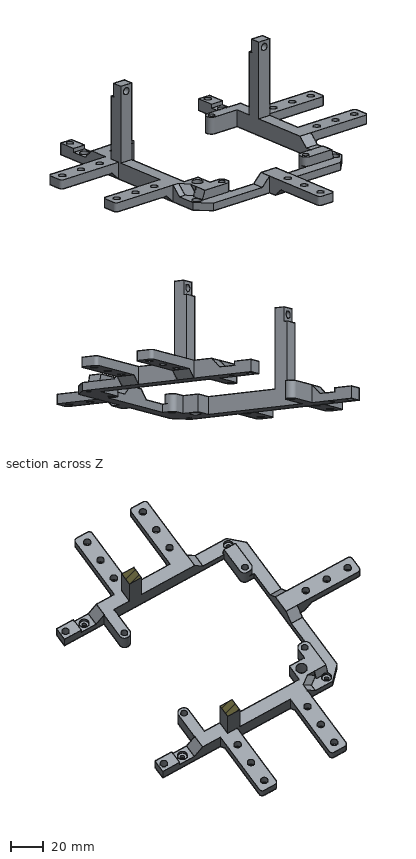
import cadquery as cq

frame_half_width = 60.0
rail_width = 9.0
rail_inner = frame_half_width - rail_width
rail_center = frame_half_width - rail_width / 2
cross_outer = 131.0
cross_width = 8.0
cross_inner = cross_outer - cross_width

full_height = 11.0
low_height = 5.0
tip_height = 7.6
step = full_height - low_height
top_height = 61.0

tip_length = 12.0
tip_hole_x = 3.5
tip_hole_diameter = 4.5
front_ramp_start = 22.7
front_screw_x = 17.0
rear_screw_x = 120.6
screw_diameter = 2.8
screw_head_diameter = 6.0
screw_head_depth = 2.1

arm_length = 46.0
arm_width = 12.0
arm_corner_radius = 2.1
arm_hole_diameter = 4.5
arm_hole_count = 3
arm_hole_pitch = 15.0
arm_hole_edge = 6.0
front_arm_x = 47.5
left_arm_x = 87.5
right_arm_x = 97.7
center_gusset_offset = 5.3

tab_end = 29.9
front_tab_x = 32.0
front_tab_width = 7.2
rear_tab_width = 8.3
tab_corner_radius = 3.4
rear_tab_x = cross_inner - rear_tab_width / 2
rear_tab_hole_x = 118.7
tab_hole_y = 33.7
tab_hole_diameter = 4.0
left_tab_foot = 1.5
right_tab_foot = 2.1

post_x = 46.6
post_width = 9.0
post_step_depth = 2.1
post_step_height = 9.0
post_hole_drop = 4.2
post_hole_diameter = 4.5

block_end = 39.9
block_hole_x = 109.2
block_hole_y = 45.2
block_hole_diameter = 6.8
wedge_width = 4.5


def box(x0, x1, y0, y1, z0, z1):
    """Axis-aligned box between two opposite corners, given in any order."""
    return (
        cq.Workplane("XY")
        .box(abs(x1 - x0), abs(y1 - y0), abs(z1 - z0))
        .translate(((x0 + x1) / 2, (y0 + y1) / 2, (z0 + z1) / 2))
    )


def drill(x, y, diameter, bottom=0.0):
    """Vertical cutter from the given height upward."""
    return cq.Workplane("XY", origin=(x, y, bottom)).circle(diameter / 2).extrude(full_height)


def side_rail(side, rear_ramp_start):
    """Side rail with the stepped tip, ramps, screw holes and a cut rear corner."""
    profile = [
        (0, 0),
        (cross_outer, 0),
        (cross_outer, low_height),
        (rear_ramp_start + step, low_height),
        (rear_ramp_start, full_height),
        (front_ramp_start + step, full_height),
        (front_ramp_start, low_height),
        (tip_length, low_height),
        (tip_length, tip_height),
        (0, tip_height),
    ]
    rail = (
        cq.Workplane("XZ", origin=(0, rail_center, 0))
        .polyline(profile)
        .close()
        .extrude(rail_width / 2, both=True)
    )
    corner = (
        cq.Workplane("XY")
        .polyline([
            (cross_outer - rail_width, frame_half_width),
            (cross_outer, frame_half_width),
            (cross_outer, rail_inner),
        ])
        .close()
        .extrude(full_height)
    )
    rail = rail.cut(corner)
    for screw_x in (front_screw_x, rear_screw_x):
        rail = rail.cut(drill(screw_x, rail_center, screw_diameter))
        rail = rail.cut(drill(screw_x, rail_center, screw_head_diameter, low_height - screw_head_depth))
    return rail if side > 0 else rail.mirror("XZ")


def cross_rail():
    """Cross rail with a raised, ramped hump under the centre arm."""
    hump = arm_width / 2
    profile = [
        (-rail_inner, 0),
        (rail_inner, 0),
        (rail_inner, low_height),
        (hump + step, low_height),
        (hump, full_height),
        (-hump, full_height),
        (-hump - step, low_height),
        (-rail_inner, low_height),
    ]
    return cq.Workplane("YZ", origin=(cross_inner, 0, 0)).polyline(profile).close().extrude(cross_width)


def arm(overlap, gusset_offset):
    """Drilled arm along +X from a root face at X = 0, with a 45 degree gusset below."""
    profile = [
        (-overlap, 0),
        (gusset_offset, 0),
        (gusset_offset + low_height, low_height),
        (arm_length, low_height),
        (arm_length, full_height),
        (-overlap, full_height),
    ]
    body = (
        cq.Workplane("XZ")
        .polyline(profile)
        .close()
        .extrude(arm_width / 2, both=True)
        .edges("|Z and >X")
        .fillet(arm_corner_radius)
    )
    for i in range(arm_hole_count):
        hole_x = arm_length - arm_hole_edge - i * arm_hole_pitch
        body = body.cut(drill(hole_x, 0, arm_hole_diameter))
    return body


def side_arm(x, side):
    """Arm pointing outward from a side rail."""
    body = arm(rail_width / 2, 0).rotate((0, 0, 0), (0, 0, 1), side * 90)
    return body.translate((x, side * frame_half_width, 0))


def tab(x, width, side):
    """Full-height tab with rounded end corners, pointing from a side rail to the centre plane."""
    body = box(x - width / 2, x + width / 2, side * tab_end, side * rail_inner, 0, full_height)
    end_corners = "|Z and <Y" if side > 0 else "|Z and >Y"
    return body.edges(end_corners).fillet(tab_corner_radius)


def rear_tab(side, foot):
    """Tab beside the cross rail, with a low square corner and a steep face on the rail."""
    corner = box(rear_tab_x, cross_inner, side * tab_end, side * rail_inner, 0, low_height)
    steep_face = (
        cq.Workplane("YZ", origin=(cross_inner - rear_tab_width, 0, 0))
        .polyline([
            (side * rail_inner, low_height),
            (side * (rail_inner + foot), low_height),
            (side * rail_inner, full_height),
        ])
        .close()
        .extrude(rear_tab_width)
    )
    return tab(rear_tab_x, rear_tab_width, side).union(corner).union(steep_face)


def post(side):
    """Upright post with a stepped, cross-drilled head."""
    y0 = side * (rail_center - post_width / 2)
    y1 = side * (rail_center + post_width / 2)
    body = box(post_x, post_x + post_width, y0, y1, 0, top_height)
    body = body.cut(box(post_x, post_x + post_step_depth, y0, y1, top_height - post_step_height, top_height))
    hole = (
        cq.Workplane("YZ", origin=(post_x, side * rail_center, top_height - post_hole_drop))
        .circle(post_hole_diameter / 2)
        .extrude(post_width)
    )
    return body.cut(hole)


def corner_block(ramp_start):
    """Block inside the -Y corner, with a skewed wedge blending it into the rail ramp."""
    block = box(ramp_start, cross_inner, -rail_inner, -block_end, 0, full_height)

    def ramp_section(shift):
        return [
            (ramp_start - step, 0),
            (ramp_start + shift + step, 0),
            (ramp_start + shift + step, low_height),
            (ramp_start + shift, full_height),
            (ramp_start - step, full_height),
        ]

    wedge = (
        cq.Workplane("XZ", origin=(0, -rail_inner, 0))
        .polyline(ramp_section(step))
        .close()
        .workplane(offset=wedge_width)
        .polyline(ramp_section(0))
        .close()
        .loft(ruled=True)
    )
    return block.union(wedge)


left_ramp_start = left_arm_x + arm_width / 2
right_ramp_start = right_arm_x + arm_width / 2

frame = cross_rail()
frame = frame.union(side_rail(1, left_ramp_start))
frame = frame.union(side_rail(-1, right_ramp_start))
frame = frame.union(arm(cross_width, center_gusset_offset).translate((cross_outer, 0, 0)))
frame = frame.union(side_arm(left_arm_x, 1))
frame = frame.union(side_arm(right_arm_x, -1))
frame = frame.union(rear_tab(1, left_tab_foot))
frame = frame.union(rear_tab(-1, right_tab_foot))
frame = frame.union(corner_block(right_ramp_start))
for side in (1, -1):
    frame = frame.union(side_arm(front_arm_x, side))
    frame = frame.union(tab(front_tab_x, front_tab_width, side))
    frame = frame.union(post(side))

frame = frame.cut(drill(block_hole_x, -block_hole_y, block_hole_diameter))
for side in (1, -1):
    frame = frame.cut(drill(tip_hole_x, side * rail_center, tip_hole_diameter))
    for tab_hole_x in (front_tab_x, rear_tab_hole_x):
        frame = frame.cut(drill(tab_hole_x, side * tab_hole_y, tab_hole_diameter))

result = frame